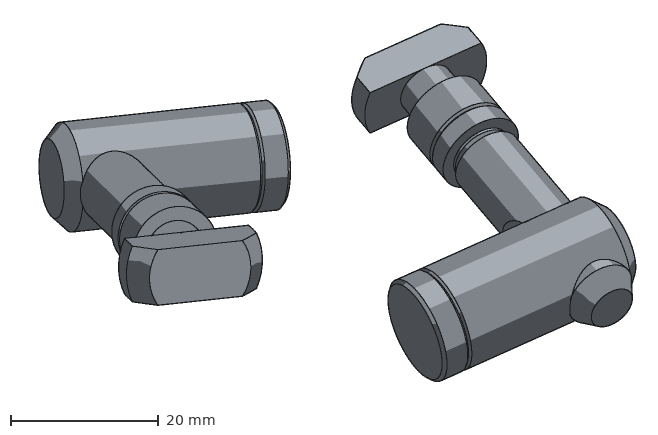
import cadquery as cq
import math


barrel_radius = 7.5
barrel_back = 25.05
barrel_front = -6.75
barrel_front_chamfer = 2.05
barrel_back_chamfer = 0.5
ring_groove_y = 20.95
ring_groove_depth = 0.3

shaft_radius = 5.0
pin_start = -10.2
pin_length = 54.0
pin_end = pin_start + pin_length
shaft_taper_angle = math.radians(30)
start_taper_length = 3.0
start_radius = shaft_radius - start_taper_length * math.tan(shaft_taper_angle)
collar_start = 23.7
collar_end = 33.0
collar_radius = 6.0
end_taper_length = 1.25
relief_length = 0.45
relief_start = collar_start - relief_length
shaft_end = relief_start - end_taper_length
relief_radius = shaft_radius - end_taper_length * math.tan(shaft_taper_angle)
collar_groove_x = 26.8
collar_groove_depth = 0.3
neck_radius = 4.0

head_thickness = 2 * neck_radius
head_radius = 9.7
head_length = 5.9
head_start = pin_end - head_length
head_chamfer = 2.5

scallop_radius = 7.0
scallop_x = 5.5
scallop_floor_y = 3.55


def v_groove(position, surface_radius, depth):
    """Points (axial, radial) of a 90 degree groove, in increasing axial order."""
    return [
        (position - depth, surface_radius),
        (position, surface_radius - depth),
        (position + depth, surface_radius),
    ]


def make_barrel():
    """Chamfered round bar along Y with a ring groove and a cross hole for the pin."""
    axial_profile = [
        (barrel_front, 0),
        (barrel_front, barrel_radius - barrel_front_chamfer),
        (barrel_front + barrel_front_chamfer, barrel_radius),
        *v_groove(ring_groove_y, barrel_radius, ring_groove_depth),
        (barrel_back - barrel_back_chamfer, barrel_radius),
        (barrel_back, barrel_radius - barrel_back_chamfer),
        (barrel_back, 0),
    ]
    profile = [(radius, y) for y, radius in axial_profile]
    body = cq.Workplane("XY").polyline(profile).close().revolve(360, (0, 0), (0, 1))
    hole = cq.Workplane("YZ").circle(shaft_radius).extrude(barrel_radius, both=True)
    return body.cut(hole)


def make_shaft():
    """Turned part of the pin: tapered shaft, relief, grooved collar and neck."""
    profile = [
        (pin_start, 0),
        (pin_start, start_radius),
        (pin_start + start_taper_length, shaft_radius),
        (shaft_end, shaft_radius),
        (relief_start, relief_radius),
        (collar_start, relief_radius),
        (collar_start, collar_radius),
        *v_groove(collar_groove_x, collar_radius, collar_groove_depth),
        (collar_end, collar_radius),
        (collar_end, neck_radius),
        (head_start, neck_radius),
        (head_start, 0),
    ]
    return cq.Workplane("XY").polyline(profile).close().revolve(360, (0, 0), (1, 0))


def make_head():
    """Chamfered disc about X, trimmed to a flat slab in Z."""
    disc = cq.Workplane("YZ", origin=(head_start, 0, 0)).circle(head_radius).extrude(head_length)
    disc = disc.faces(">X").chamfer(head_chamfer)
    slab = cq.Workplane("XY").box(head_length, 2 * head_radius, head_thickness)
    return disc.intersect(slab.translate((head_start + head_length / 2, 0, 0)))


def make_scallop():
    """Round cutter along Z that hollows the +Y side of the shaft."""
    cutter = cq.Workplane("XY").center(scallop_x, scallop_floor_y + scallop_radius)
    return cutter.circle(scallop_radius).extrude(shaft_radius, both=True)


def make_pin():
    """Pin through the barrel, with its T-shaped head at the +X end."""
    return make_shaft().union(make_head()).cut(make_scallop())


barrel = make_barrel()
pin = make_pin()

result = cq.Compound.makeCompound([barrel.solids().val(), pin.solids().val()])